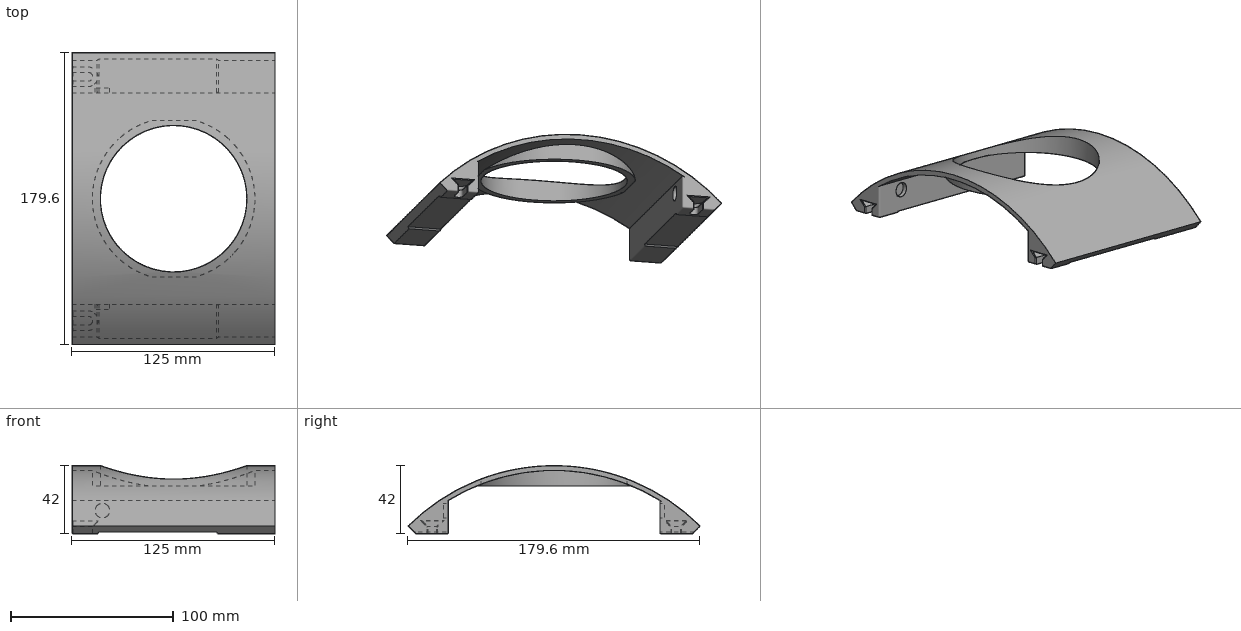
import cadquery as cq
import math

length = 125.0
height = 42.0
outer_radius = 127.0
shell_thickness = 3.0
inner_radius = outer_radius - shell_thickness
arc_center_z = height - outer_radius
end_x = -length / 2

foot_inner_y = 65.0
foot_width = 20.0
foot_outer_y = foot_inner_y + foot_width
foot_mid_y = foot_inner_y + foot_width / 2
foot_edge_fillet = 1.0

opening_diameter = 90.0
collar_wall = 5.0
collar_radius = opening_diameter / 2 + collar_wall
collar_bottom_z = 29.3

relief_depth = 1.0
short_pad_length = 15.5
long_pad_length = 35.0
relief_start_x = end_x + short_pad_length
relief_end_x = length / 2 - long_pad_length

slot_neck_width = 5.4
slot_head_width = 12.0
slot_cone_start_z = 4.5
slot_center_x = end_x + 10.0
slot_flare = 0.55

pocket_diameter = 9.0
pocket_depth = 3.0
pocket_x = -43.8
pocket_z = 14.3


def arch_tip_y():
    """Where the outer arc meets the 45 degree line rising from the foot's outer edge."""
    offset = foot_outer_y + arc_center_z
    return (offset + math.sqrt(2 * outer_radius**2 - offset**2)) / 2


def make_arch():
    tip_y = arch_tip_y()
    tip_z = tip_y - foot_outer_y
    foot_top_z = arc_center_z + math.sqrt(inner_radius**2 - foot_inner_y**2)
    return (
        cq.Workplane("YZ")
        .moveTo(-tip_y, tip_z)
        .threePointArc((0, height), (tip_y, tip_z))
        .lineTo(foot_outer_y, 0)
        .lineTo(foot_inner_y, 0)
        .lineTo(foot_inner_y, foot_top_z)
        .threePointArc((0, height - shell_thickness), (-foot_inner_y, foot_top_z))
        .lineTo(-foot_inner_y, 0)
        .lineTo(-foot_outer_y, 0)
        .close()
        .extrude(length / 2, both=True)
    )


def make_relief():
    """Trapezoid across both feet, narrower at its top."""
    return (
        cq.Workplane("XZ")
        .moveTo(relief_start_x, 0)
        .lineTo(relief_start_x + relief_depth, relief_depth)
        .lineTo(relief_end_x - relief_depth, relief_depth)
        .lineTo(relief_end_x, 0)
        .close()
        .extrude(arch_tip_y(), both=True)
    )


def round_foot_edges(arch):
    """Round the -X end of both feet and the inner bottom edges of the pads."""
    end_face = arch.faces("<X")
    edges = end_face.edges("|Y").add(end_face.edges("|Z"))
    short_pad_mid_x = end_x + short_pad_length / 2
    long_pad_mid_x = length / 2 - long_pad_length / 2
    for pad_mid_x in (short_pad_mid_x, long_pad_mid_x):
        for side in (-1, 1):
            edge_middle = (pad_mid_x, side * foot_inner_y, 0)
            edges = edges.add(arch.edges(cq.NearestToPointSelector(edge_middle)))
    return edges.fillet(foot_edge_fillet)


def make_collar():
    """Tube blank that ends at the outer surface of the arch."""
    cylinder = (
        cq.Workplane("XY", origin=(0, 0, collar_bottom_z))
        .circle(collar_radius)
        .extrude(height - collar_bottom_z)
    )
    arch_cylinder = (
        cq.Workplane("YZ", origin=(0, 0, arc_center_z))
        .circle(outer_radius)
        .extrude(length / 2, both=True)
    )
    return cylinder.intersect(arch_cylinder)


def make_opening():
    return cq.Workplane("XY").circle(opening_diameter / 2).extrude(height)


def slot_section_corners(grow):
    """Right-hand corners (distance from slot middle, z), with the walls moved out by grow."""
    neck = slot_neck_width / 2 + grow
    head = slot_head_width / 2 + grow * (1 + math.sqrt(2))
    cone_start_z = slot_cone_start_z - grow * (math.sqrt(2) - 1)
    top_z = cone_start_z + head - neck
    return [(neck, 0), (neck, cone_start_z), (head, top_z)]


def draw_slot_section(plane, grow):
    """Add a closed, full-width slot section to a workplane."""
    right = slot_section_corners(grow)
    left = [(-y, z) for y, z in reversed(right)]
    return plane.polyline(right + left).close()


def make_screw_slot():
    """Straight run from the -X end, a round inner end, and a flared mouth."""
    end_plane = cq.Workplane("YZ", origin=(end_x, 0, 0))
    run = draw_slot_section(end_plane, 0).extrude(slot_center_x - end_x)

    corners = slot_section_corners(0)
    top_z = corners[-1][1]
    round_end = (
        cq.Workplane("XZ", origin=(slot_center_x, 0, 0))
        .polyline([(0, 0)] + corners + [(0, top_z)])
        .close()
        .revolve(360, (0, 0, 0), (0, 1, 0))
    )

    mouth = draw_slot_section(end_plane, slot_flare).workplane(offset=slot_flare)
    mouth = draw_slot_section(mouth, 0).loft(ruled=True)
    return run.union(round_end).union(mouth)


def make_wall_pocket(side):
    """Blind round pocket; side is the sign of the foot's Y position."""
    return (
        cq.Workplane("XZ", origin=(pocket_x, side * foot_inner_y, pocket_z))
        .circle(pocket_diameter / 2)
        .extrude(-side * pocket_depth)
    )


result = round_foot_edges(make_arch().cut(make_relief()))
result = result.union(make_collar()).cut(make_opening())
for side in (-1, 1):
    result = result.cut(make_screw_slot().translate((0, side * foot_mid_y, 0)))
    result = result.cut(make_wall_pocket(side))